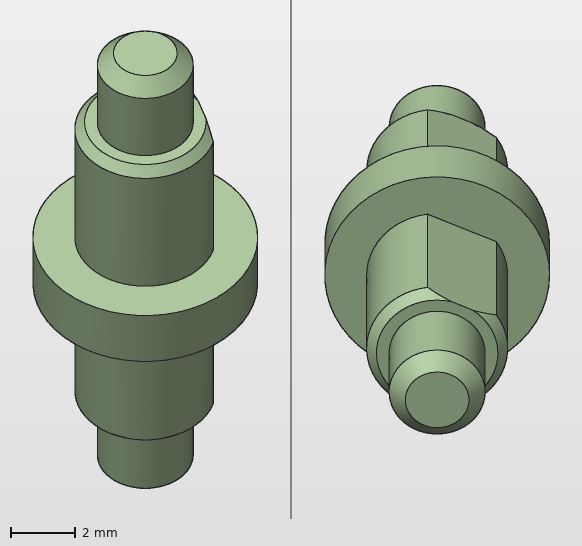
import cadquery as cq

total_length = 18.0
tip_diameter = 2.99
tip_chamfer = 0.5

body_length = 12.0
body_diameter = 4.4
body_chamfer = 0.3
flat_distance = 1.85

flange_diameter = 7.0
flange_thickness = 2.0


def centered_cylinder(diameter, length):
    """Cylinder along Z, centred on the origin."""
    return cq.Workplane("XY").cylinder(length, diameter / 2)


def chamfered_cylinder(diameter, length, chamfer):
    """Centred cylinder with both end edges chamfered."""
    return centered_cylinder(diameter, length).faces("|Z").chamfer(chamfer)


tips = chamfered_cylinder(tip_diameter, total_length, tip_chamfer)

body = chamfered_cylinder(body_diameter, body_length, body_chamfer)
flat_cutter = (
    cq.Workplane("XY")
    .box(body_diameter, body_diameter, body_length)
    .translate((0, flat_distance + body_diameter / 2, 0))
)
body = body.cut(flat_cutter)

flange = centered_cylinder(flange_diameter, flange_thickness)

result = tips.union(body).union(flange)